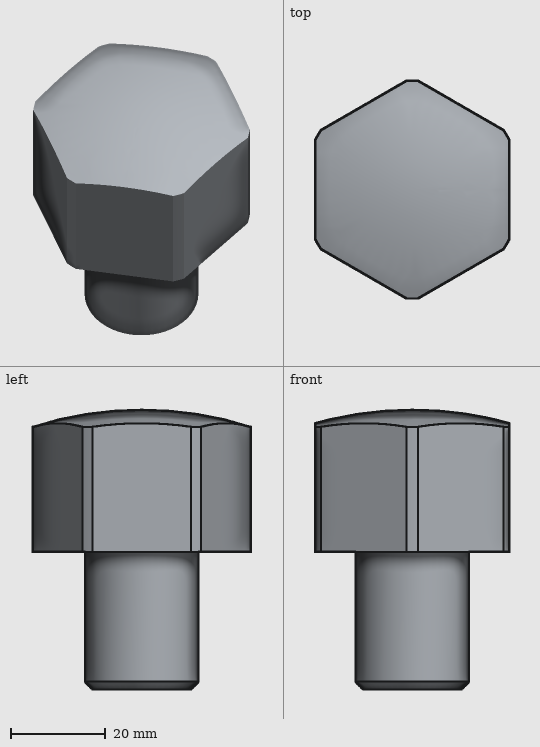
import cadquery as cq
import math

head_sides = 6
across_flats = 41.0
corner_diameter = 46.0
head_height = 30.0
dome_radius = 75.0

shank_diameter = 24.0
shank_length = 29.0
shank_chamfer = 1.65


def make_head():
    """Hexagonal prism with flats facing +X and -X, trimmed by a domed round blank."""
    half_side_angle = 180 / head_sides
    across_corners = across_flats / math.cos(math.radians(half_side_angle))
    prism = (
        cq.Workplane("XY")
        .polygon(head_sides, across_corners)
        .extrude(head_height)
        .rotate((0, 0, 0), (0, 0, 1), half_side_angle)
    )
    corner_cylinder = cq.Workplane("XY").circle(corner_diameter / 2).extrude(head_height)
    dome_sphere = cq.Workplane("XY").sphere(dome_radius).translate((0, 0, head_height - dome_radius))
    return prism.intersect(corner_cylinder).intersect(dome_sphere)


def make_shank():
    """Cylinder hanging below the head, chamfered at its free end."""
    return (
        cq.Workplane("XY")
        .circle(shank_diameter / 2)
        .extrude(-shank_length)
        .faces("<Z")
        .chamfer(shank_chamfer)
    )


result = make_head().union(make_shank())